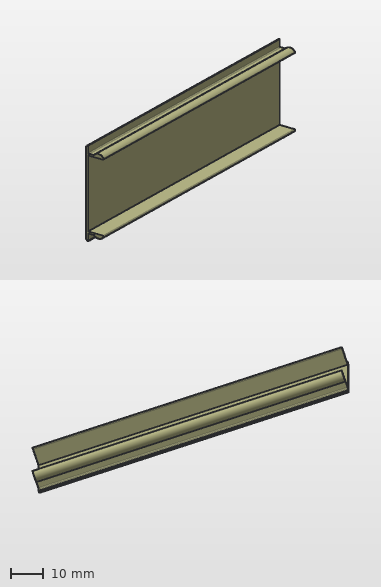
import cadquery as cq
import math

length = 100.0
height = 32.0
depth = 6.7

plate_thickness = 0.9
edge_chamfer = 0.6

leg_inner_z = 12.7
leg_thickness = 0.7
leg_outer_z = leg_inner_z + leg_thickness
root_fillet = 0.3
tip_radius = leg_thickness / 2

catch_height = 0.8
catch_radius = 2.3

tip_center_x = depth - tip_radius
tip_center_z = leg_inner_z + tip_radius
catch_center_z = leg_outer_z + catch_height - catch_radius
center_rise = tip_center_z - catch_center_z
center_distance = catch_radius - tip_radius
center_run = math.sqrt(center_distance**2 - center_rise**2)
catch_center_x = tip_center_x - center_run
catch_half_width = math.sqrt(catch_radius**2 - (catch_radius - catch_height) ** 2)
catch_start_x = catch_center_x - catch_half_width
tangent_x = catch_center_x + center_run * catch_radius / center_distance
tangent_z = catch_center_z + center_rise * catch_radius / center_distance


def make_plate():
    """Flat cover with its two long front edges chamfered."""
    plate = cq.Workplane("XY").box(plate_thickness, length, height, centered=(False, True, True))
    return plate.faces("<X").edges("|Y").chamfer(edge_chamfer)


def make_upper_leg():
    """Thin leg with a filleted root, an arched catch and a rounded tip."""
    fillet_end_x = plate_thickness + root_fillet
    overlap_x = plate_thickness / 2

    return (
        cq.Workplane("XZ")
        .moveTo(overlap_x, leg_inner_z)
        .lineTo(tip_center_x, leg_inner_z)
        .threePointArc((depth, tip_center_z), (tangent_x, tangent_z))
        .threePointArc((catch_center_x, leg_outer_z + catch_height), (catch_start_x, leg_outer_z))
        .lineTo(fillet_end_x, leg_outer_z)
        .radiusArc((plate_thickness, leg_outer_z + root_fillet), root_fillet)
        .lineTo(overlap_x, leg_outer_z + root_fillet)
        .close()
        .extrude(length / 2, both=True)
    )


upper_leg = make_upper_leg()
lower_leg = upper_leg.mirror("XY")
result = make_plate().union(upper_leg).union(lower_leg)